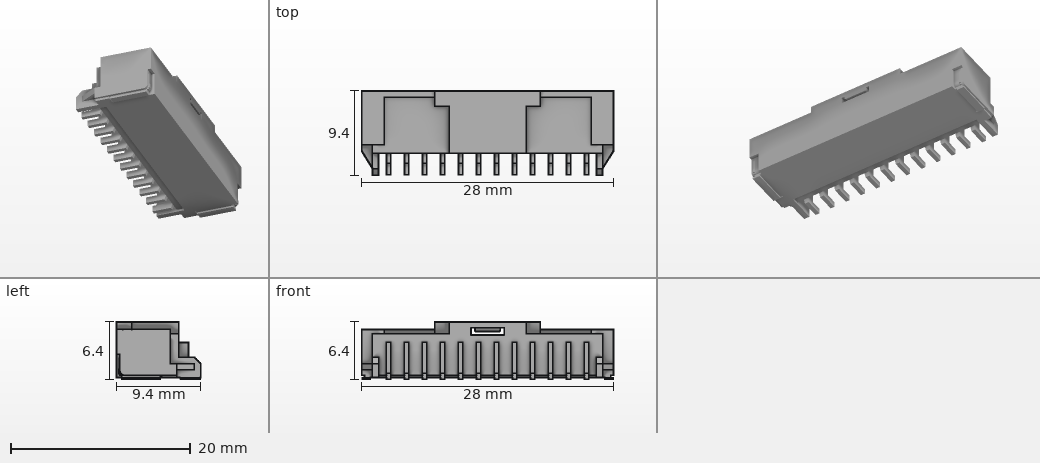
import cadquery as cq

LENGTH = 28.0
HOUSING_DEPTH = 6.95
HOUSING_BOTTOM = 0.2
DECK_Z = 5.05
RAIL_Z = 5.55
TOP_Z = 6.4
half_length = LENGTH / 2

CORE_LENGTH = 25.6
FRONT_STEP_Z = 0.45
FRONT_STEP_DEPTH = 0.9
half_core = CORE_LENGTH / 2

CHEEK_DEPTH = 6.0
CHEEK_FOOT_DEPTH = 6.7
CHEEK_FOOT_Z = 1.75
CHEEK_BOTTOM = FRONT_STEP_Z
REAR_NOTCH_DEPTH = 0.4
REAR_NOTCH_Z = 2.8
CHEEK_CORNER_RADIUS = 0.5
CHEEK_PLINTH_REAR = 5.05
CHEEK_PLINTH_OUTER = 13.7
cheek_thickness = half_length - half_core

RAIL_WIDTH = 2.5
BACK_RAIL_DEPTH = 0.7

CENTRE_WIDE = 11.75
CENTRE_WIDE_DEPTH = 1.7
CENTRE_NARROW = 8.55

WINDOW_LENGTH = 3.65
WINDOW_BOTTOM = 4.95
WINDOW_HEIGHT = 0.78
CATCH_LENGTH = 2.85
CATCH_HEIGHT = 0.43
CATCH_DEPTH = 1.0
CATCH_UNDERCUT = 0.15
CATCH_CHAMFER = 0.12
window_top = WINDOW_BOTTOM + WINDOW_HEIGHT

EAR_THICKNESS = 0.7
EAR_REACH = 9.4
EAR_TOP = 2.48
EAR_CHAMFER = 0.75
GUSSET_REACH = 8.65
GUSSET_BOTTOM = 1.05

PIN_COUNT = 12
PIN_PITCH = 2.0
PIN_WIDTH = 0.5
PIN_TOP = 4.1
PIN_REACH = 8.05
FOOT_REACH = 9.35
FOOT_HEIGHT = 0.7
PIN_HEEL_SETBACK = 0.2

ANCHOR_OUTER = CHEEK_PLINTH_OUTER
ANCHOR_REAR = 0.6
ANCHOR_FRONT = 4.9
PAD_INNER = 13.05
PAD_OUTER = 13.95
PAD_THICKNESS = 0.2
STRAP_THICKNESS = 0.2
STRAP_TOP = 2.35
STRAP_REAR = 0.34
BARB_REAR = 0.25
BARB_TOP = 1.1
BARB_BOTTOM = 0.6


def box(x_min, x_max, y_min, y_max, z_min, z_max):
    """Box given by its limits on the three axes."""
    size = (x_max - x_min, y_max - y_min, z_max - z_min)
    return cq.Workplane("XY").box(*size, centered=False).translate((x_min, y_min, z_min))


def centred_box(length, y_min, y_max, z_min, z_max):
    """Box centred on X."""
    return box(-length / 2, length / 2, y_min, y_max, z_min, z_max)


def side_plate(points, x_min, x_max):
    """Closed (y, z) outline extruded from x_min to x_max."""
    return cq.Workplane("YZ").workplane(offset=x_min).polyline(points).close().extrude(x_max - x_min)


def both_ends(part):
    """The given right-hand part together with its left-hand mirror image."""
    return part.union(part.mirror("YZ"))


def core():
    block = centred_box(CORE_LENGTH, -HOUSING_DEPTH, 0, HOUSING_BOTTOM, DECK_Z)
    step = centred_box(
        CORE_LENGTH, -HOUSING_DEPTH, FRONT_STEP_DEPTH - HOUSING_DEPTH, HOUSING_BOTTOM, FRONT_STEP_Z
    )
    return block.cut(step)


def cheek():
    outline = [
        (0, DECK_Z),
        (0, REAR_NOTCH_Z),
        (-REAR_NOTCH_DEPTH, REAR_NOTCH_Z),
        (-REAR_NOTCH_DEPTH, CHEEK_BOTTOM),
        (-CHEEK_FOOT_DEPTH, CHEEK_BOTTOM),
        (-CHEEK_FOOT_DEPTH, CHEEK_FOOT_Z),
        (-CHEEK_DEPTH, CHEEK_FOOT_Z),
        (-CHEEK_DEPTH, DECK_Z),
    ]
    wall = side_plate(outline, half_core, half_length)
    corner = cq.selectors.NearestToPointSelector(
        (half_core + cheek_thickness / 2, -REAR_NOTCH_DEPTH, CHEEK_BOTTOM)
    )
    plinth = box(
        half_core, CHEEK_PLINTH_OUTER, -CHEEK_FOOT_DEPTH, -CHEEK_PLINTH_REAR, HOUSING_BOTTOM, CHEEK_BOTTOM
    )
    return wall.edges("|X").edges(corner).fillet(CHEEK_CORNER_RADIUS).union(plinth)


def rails():
    end_rail = box(half_length - RAIL_WIDTH, half_length, -CHEEK_DEPTH, 0, DECK_Z, RAIL_Z)
    back_rail = centred_box(LENGTH, -BACK_RAIL_DEPTH, 0, DECK_Z, RAIL_Z)
    return both_ends(end_rail).union(back_rail)


def centre_block():
    wide = centred_box(CENTRE_WIDE, -CENTRE_WIDE_DEPTH, 0, DECK_Z, TOP_Z)
    narrow = centred_box(CENTRE_NARROW, -HOUSING_DEPTH, 0, DECK_Z, TOP_Z)
    return wide.union(narrow)


def latch_window():
    return centred_box(WINDOW_LENGTH, -HOUSING_DEPTH, 0, WINDOW_BOTTOM, window_top)


def latch_catch():
    catch_bottom = window_top - CATCH_HEIGHT
    outline = [
        (0, window_top),
        (0, catch_bottom),
        (-CATCH_DEPTH, catch_bottom),
        (CATCH_UNDERCUT - CATCH_DEPTH, window_top),
    ]
    catch = side_plate(outline, -CATCH_LENGTH / 2, CATCH_LENGTH / 2)
    lower_end_edges = catch.faces("<Z").edges("<X or >X")
    return lower_end_edges.chamfer(CATCH_CHAMFER)


def guard_ear():
    outline = [
        (-CHEEK_DEPTH, HOUSING_BOTTOM),
        (-EAR_REACH, HOUSING_BOTTOM),
        (-EAR_REACH, EAR_TOP - EAR_CHAMFER),
        (EAR_CHAMFER - EAR_REACH, EAR_TOP),
        (-CHEEK_DEPTH, EAR_TOP),
    ]
    return side_plate(outline, half_core - EAR_THICKNESS, half_core)


def gusset():
    plan = [
        (half_core, -CHEEK_FOOT_DEPTH),
        (half_length, -CHEEK_FOOT_DEPTH),
        (half_core, -GUSSET_REACH),
    ]
    height = CHEEK_FOOT_Z - GUSSET_BOTTOM
    return cq.Workplane("XY").workplane(offset=GUSSET_BOTTOM).polyline(plan).close().extrude(height)


def pin(x_centre):
    outline = [
        (-HOUSING_DEPTH, PIN_TOP),
        (-PIN_REACH, PIN_TOP),
        (-PIN_REACH, FOOT_HEIGHT),
        (-FOOT_REACH, FOOT_HEIGHT),
        (-FOOT_REACH, 0),
        (-HOUSING_DEPTH - PIN_HEEL_SETBACK, 0),
        (-HOUSING_DEPTH, FRONT_STEP_Z),
    ]
    return side_plate(outline, x_centre - PIN_WIDTH / 2, x_centre + PIN_WIDTH / 2)


def solder_anchor():
    pad = box(PAD_INNER, PAD_OUTER, -ANCHOR_FRONT, -ANCHOR_REAR, 0, PAD_THICKNESS)
    riser = box(half_core, ANCHOR_OUTER, -ANCHOR_FRONT, -ANCHOR_REAR, PAD_THICKNESS, CHEEK_BOTTOM)
    strap_outline = [
        (-ANCHOR_REAR, CHEEK_BOTTOM),
        (-REAR_NOTCH_DEPTH, CHEEK_BOTTOM),
        (-REAR_NOTCH_DEPTH, BARB_BOTTOM),
        (-BARB_REAR, BARB_BOTTOM),
        (-BARB_REAR, BARB_TOP),
        (-STRAP_REAR, BARB_TOP),
        (-STRAP_REAR, STRAP_TOP),
        (-ANCHOR_REAR, STRAP_TOP),
    ]
    strap = side_plate(strap_outline, ANCHOR_OUTER - STRAP_THICKNESS, ANCHOR_OUTER)
    return pad.union(riser).union(strap)


housing = core().union(both_ends(cheek())).union(rails()).union(centre_block())
housing = housing.cut(latch_window()).union(latch_catch())
housing = housing.union(both_ends(guard_ear().union(gusset())))
result = housing.union(both_ends(solder_anchor()))

for index in range(PIN_COUNT):
    pin_x = (index - (PIN_COUNT - 1) / 2) * PIN_PITCH
    result = result.union(pin(pin_x))